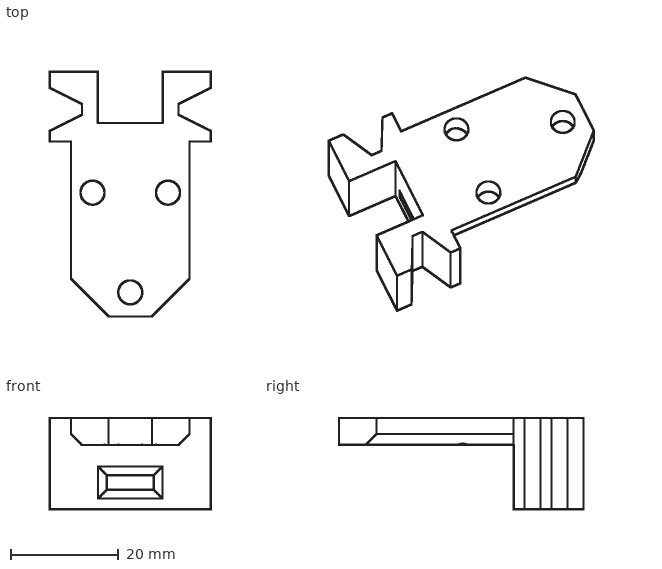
import cadquery as cq

length = 45.5
block_width = 30.0
block_depth = 13.0
height = 17.0
block_front = length - block_depth

plate_width = 22.0
plate_thickness = 5.0
nose_width = 8.0
bevel = 2.0
plate_bottom = height - plate_thickness

slot_width = 12.0
slot_depth = 9.5
wall_thickness = block_depth - slot_depth

notch_depth = 6.0
notch_margin = 2.0
notch_mouth = 8.0
notch_floor = 2.0

window_width = 12.0
window_height = 6.0
window_center_z = 5.0
window_inset = 1.7

hole_diameter = 4.4
rear_hole_x = 7.0
rear_hole_y = 23.02
nose_hole_y = 4.5


def make_block():
    """Full-height block with a rear slot and a tapered notch in each side."""
    block = cq.Workplane("XY").box(block_width, block_depth, height, centered=(True, False, False))
    block = block.translate((0, block_front, 0))
    slot = cq.Workplane("XY").box(slot_width, slot_depth, height, centered=(True, False, False))
    block = block.cut(slot.translate((0, length - slot_depth, 0)))

    notch_center_y = block_front + notch_margin + notch_mouth / 2
    for side in (-1, 1):
        outer_x = side * block_width / 2
        inner_x = outer_x - side * notch_depth
        notch = (
            cq.Workplane("XY")
            .polyline([
                (outer_x, notch_center_y - notch_mouth / 2),
                (inner_x, notch_center_y - notch_floor / 2),
                (inner_x, notch_center_y + notch_floor / 2),
                (outer_x, notch_center_y + notch_mouth / 2),
            ])
            .close()
            .extrude(height)
        )
        block = block.cut(notch)
    return block


def make_plate():
    """Plate with beveled lower side edges and a nose cut off at 45 degrees."""
    half_width = plate_width / 2
    half_nose = nose_width / 2
    nose_cut = half_width - half_nose
    outline = (
        cq.Workplane("XY", origin=(0, 0, plate_bottom))
        .polyline([
            (-half_nose, 0),
            (half_nose, 0),
            (half_width, nose_cut),
            (half_width, block_front),
            (-half_width, block_front),
            (-half_width, nose_cut),
        ])
        .close()
        .extrude(plate_thickness)
    )
    return outline.edges("|Y and <Z").chamfer(bevel)


def make_window():
    """Window through the front wall, narrowing toward the slot."""
    return (
        cq.Workplane("XZ", origin=(0, block_front, window_center_z))
        .rect(window_width, window_height)
        .workplane(offset=-wall_thickness)
        .rect(window_width - 2 * window_inset, window_height - 2 * window_inset)
        .loft(ruled=True)
    )


def make_holes():
    """Two rear holes and one nose hole through the plate."""
    return (
        cq.Workplane("XY", origin=(0, 0, plate_bottom))
        .pushPoints([(-rear_hole_x, rear_hole_y), (rear_hole_x, rear_hole_y), (0, nose_hole_y)])
        .circle(hole_diameter / 2)
        .extrude(plate_thickness)
    )


result = make_block().union(make_plate()).cut(make_window()).cut(make_holes())